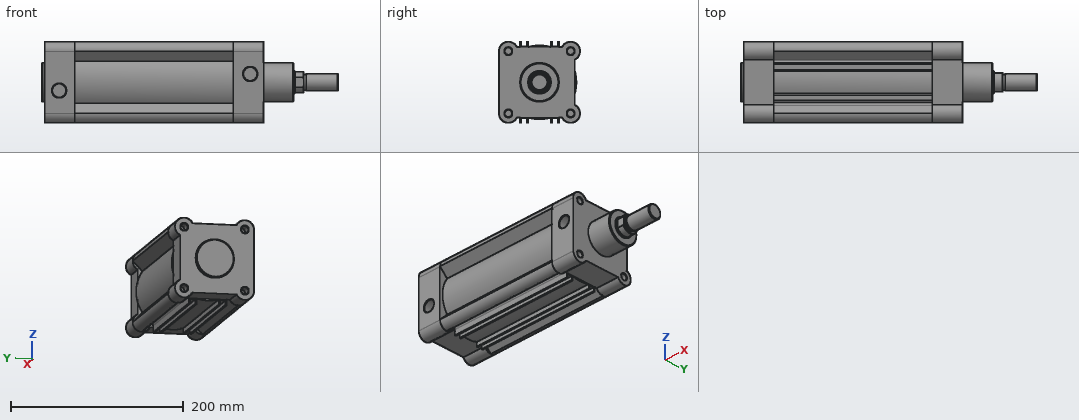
import cadquery as cq
import math

TOTAL_LENGTH = 343.0
BOSS_LENGTH = 3.5
CAP_LENGTH = 35.0
TUBE_LENGTH = 183.0
NECK_LENGTH = 34.5
LIP_LENGTH = 1.7
FLATS_LENGTH = 10.0
GROOVE_LENGTH = 3.0

ENVELOPE_HALF = 47.0
CORNER_RADIUS = 11.0
CORNER_OFFSET = ENVELOPE_HALF - CORNER_RADIUS
CAP_BODY_HALF = 40.8

BOSS_RADIUS = 22.5
BOSS_CHAMFER = 1.0
NECK_CHAMFER = 1.0
LIP_RADIUS = 13.5
LIP_CHAMFER = 1.0
MOUNT_HOLE_RADIUS = 4.0
MOUNT_HOLE_CHAMFER = 0.7
MOUNT_HOLE_DEPTH = 17.0
PORT_RADIUS = 8.0
PORT_CHAMFER = 0.7
PORT_DEPTH = 20.5
REAR_PORT_INSET = 16.8
FRONT_PORT_INSET = 15.5
PORT_HEIGHT = 9.5

TUBE_RADIUS = 43.0
RAIL_OFFSET = 18.0
RAIL_WIDTH = 10.0
SLOT_WIDTH = 6.2
FOOT_RADIUS = 2.0
SLOT_FLOOR = 42.0

COLLAR_RADIUS = 12.5
COLLAR_CHAMFER = 0.7
ACROSS_FLATS = 22.0
GROOVE_RADIUS = 9.3
THREAD_RADIUS = 10.0
THREAD_CHAMFER = 1.0

REAR_CAP_X = BOSS_LENGTH
TUBE_X = REAR_CAP_X + CAP_LENGTH
FRONT_CAP_X = TUBE_X + TUBE_LENGTH
NECK_X = FRONT_CAP_X + CAP_LENGTH
LIP_X = NECK_X + NECK_LENGTH
ROD_X = LIP_X + LIP_LENGTH
GROOVE_X = ROD_X + FLATS_LENGTH
THREAD_X = GROOVE_X + GROOVE_LENGTH
THREAD_LENGTH = TOTAL_LENGTH - THREAD_X

CORNERS = [(sy * CORNER_OFFSET, sz * CORNER_OFFSET) for sy in (-1, 1) for sz in (-1, 1)]


def section(x):
    """Workplane across the axis at x, with local axes Y and Z."""
    return cq.Workplane("YZ", origin=(x, 0, 0))


def disc(x, radius, length):
    return section(x).circle(radius).extrude(length)


def box(x, length, y_range, z_range):
    """Block along the axis between the given Y and Z limits."""
    y0, y1 = y_range
    z0, z1 = z_range
    return cq.Workplane("XY").box(length, y1 - y0, z1 - z0, centered=False).translate((x, y0, z0))


def chamfered_hole(radius, chamfer, depth, origin, direction):
    """Cutter for a round blind hole with a chamfered mouth."""
    start = cq.Vector(*origin)
    axis = cq.Vector(*direction)
    bore = cq.Solid.makeCylinder(radius, depth, start, axis)
    mouth = cq.Solid.makeCone(radius + chamfer, radius, chamfer, start, axis)
    return cq.Workplane(bore).union(cq.Workplane(mouth))


def cap_blank(x):
    """Cap block: four corner lobes, recessed sides, and a full-width flat port face on -Y."""
    blank = box(x, CAP_LENGTH, (-CAP_BODY_HALF, CAP_BODY_HALF), (-CAP_BODY_HALF, CAP_BODY_HALF))
    blank = blank.union(section(x).pushPoints(CORNERS).circle(CORNER_RADIUS).extrude(CAP_LENGTH))
    port_pad = box(x, CAP_LENGTH, (-ENVELOPE_HALF, 0), (-CORNER_OFFSET, CORNER_OFFSET))
    return blank.union(port_pad)


def cut_cap_holes(cap, outer_x, inward, port_inset, port_z):
    """Cut the four mounting holes in the outer face and the port in the -Y face."""
    for y, z in CORNERS:
        cap = cap.cut(chamfered_hole(MOUNT_HOLE_RADIUS, MOUNT_HOLE_CHAMFER, MOUNT_HOLE_DEPTH,
                                     (outer_x, y, z), (inward, 0, 0)))
    port_centre = (outer_x + inward * port_inset, -ENVELOPE_HALF, port_z)
    return cap.cut(chamfered_hole(PORT_RADIUS, PORT_CHAMFER, PORT_DEPTH, port_centre, (0, 1, 0)))


def make_rear_cap():
    boss = disc(0, BOSS_RADIUS, BOSS_LENGTH).faces("<X").chamfer(BOSS_CHAMFER)
    cap = cap_blank(REAR_CAP_X).union(boss)
    return cut_cap_holes(cap, REAR_CAP_X, 1, REAR_PORT_INSET, -PORT_HEIGHT)


def make_front_cap():
    neck = disc(NECK_X, BOSS_RADIUS, NECK_LENGTH).faces(">X").chamfer(NECK_CHAMFER)
    lip = disc(LIP_X, LIP_RADIUS, LIP_LENGTH).faces(">X").chamfer(LIP_CHAMFER)
    cap = cap_blank(FRONT_CAP_X).union(neck).union(lip)
    return cut_cap_holes(cap, NECK_X, -1, FRONT_PORT_INSET, PORT_HEIGHT)


def corner_web():
    """Diagonal web at the +Y +Z corner, from the axis to a quarter-round outer edge."""
    inner = CORNER_RADIUS / 2
    arc_mid = CORNER_OFFSET + CORNER_RADIUS * math.sqrt(0.5)
    return (
        section(TUBE_X)
        .moveTo(inner, -inner)
        .lineTo(ENVELOPE_HALF, CORNER_OFFSET)
        .threePointArc((arc_mid, arc_mid), (CORNER_OFFSET, ENVELOPE_HALF))
        .lineTo(-inner, inner)
        .close()
        .extrude(TUBE_LENGTH)
    )


def rail_foot():
    """Fillet filling the wedge between the outer wall of the +Y rail and the corner web."""
    wall_y = RAIL_OFFSET + RAIL_WIDTH / 2
    centre_y = wall_y + FOOT_RADIUS
    centre_z = centre_y + CORNER_RADIUS + FOOT_RADIUS * math.sqrt(2)
    wall_angle = 180.0
    web_angle = 315.0

    def arc_point(angle):
        radians = math.radians(angle)
        return centre_y + FOOT_RADIUS * math.cos(radians), centre_z + FOOT_RADIUS * math.sin(radians)

    return (
        section(TUBE_X)
        .moveTo(*arc_point(wall_angle))
        .threePointArc(arc_point((wall_angle + web_angle) / 2), arc_point(web_angle))
        .lineTo(wall_y, wall_y + CORNER_RADIUS)
        .close()
        .extrude(TUBE_LENGTH)
    )


def sensor_rail():
    """Slotted rail on the +Y half of the +Z side, with a filleted foot against the corner web."""
    rail = box(
        TUBE_X, TUBE_LENGTH,
        (RAIL_OFFSET - RAIL_WIDTH / 2, RAIL_OFFSET + RAIL_WIDTH / 2), (0, ENVELOPE_HALF)
    )
    slot = box(
        TUBE_X, TUBE_LENGTH,
        (RAIL_OFFSET - SLOT_WIDTH / 2, RAIL_OFFSET + SLOT_WIDTH / 2), (SLOT_FLOOR, ENVELOPE_HALF)
    )
    return rail.cut(slot).union(rail_foot())


def make_tube():
    tube = disc(TUBE_X, TUBE_RADIUS, TUBE_LENGTH)
    web = corner_web()
    for quarter in range(4):
        tube = tube.union(web.rotate((0, 0, 0), (1, 0, 0), 90 * quarter))
    rail = sensor_rail()
    top_rails = [rail, rail.mirror("XZ")]
    for top_rail in top_rails:
        tube = tube.union(top_rail).union(top_rail.mirror("XY"))
    return tube


def make_rod():
    """Piston rod end: collar with two wrench flats, undercut and threaded tip."""
    collar = disc(ROD_X, COLLAR_RADIUS, FLATS_LENGTH).faces(">X").chamfer(COLLAR_CHAMFER)
    half_flats = ACROSS_FLATS / 2
    collar = collar.intersect(
        box(ROD_X, FLATS_LENGTH, (-half_flats, half_flats), (-COLLAR_RADIUS, COLLAR_RADIUS))
    )
    groove = disc(GROOVE_X, GROOVE_RADIUS, GROOVE_LENGTH)
    thread = disc(THREAD_X, THREAD_RADIUS, THREAD_LENGTH).faces(">X").chamfer(THREAD_CHAMFER)
    return collar.union(groove).union(thread)


rear_cap = make_rear_cap()
tube = make_tube()
front_cap = make_front_cap()
rod = make_rod()

result = cq.Compound.makeCompound([rear_cap.val(), tube.val(), front_cap.val(), rod.val()])